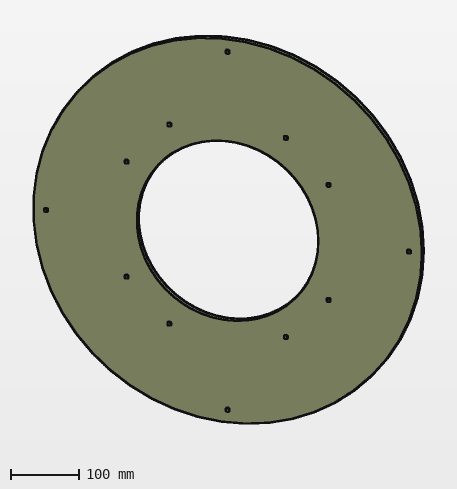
import cadquery as cq

outer_diameter = 600.0
bore_diameter = 280.0
thickness = 10.0

hole_diameter = 6.0
outer_hole_circle_radius = 280.0
inner_hole_circle_radius = 180.0
holes_per_turn = 4
inner_hole_offset = 30
inner_hole_spacing = 30


def ring():
    """Plate with a central bore; its rear face lies on the XZ plane."""
    profile = cq.Workplane("XZ").circle(outer_diameter / 2).circle(bore_diameter / 2)
    return profile.extrude(thickness)


def drill_four(plate, circle_radius, start_angle):
    """Drill four through holes, a quarter turn apart, on one circle."""
    centres = cq.Workplane("XZ").polarArray(circle_radius, start_angle, 360, holes_per_turn)
    drills = centres.circle(hole_diameter / 2).extrude(thickness, both=True)
    return plate.cut(drills)


result = ring()
result = drill_four(result, outer_hole_circle_radius, 0)
for start_angle in (inner_hole_offset, inner_hole_offset + inner_hole_spacing):
    result = drill_four(result, inner_hole_circle_radius, start_angle)